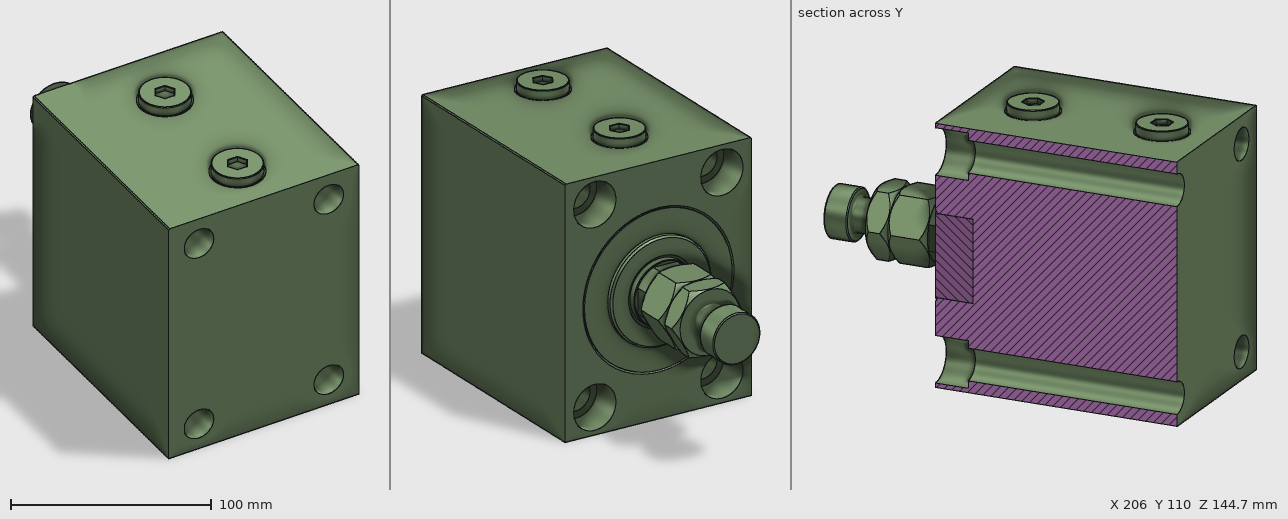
import cadquery as cq
import math


HOUSING_LENGTH = 133.0
HOUSING_WIDTH = 110.0
HOUSING_HEIGHT = 140.0
TOP_EDGE_CHAMFER = 0.6
HOUSING_TOP = HOUSING_HEIGHT / 2

BOLT_SPACING_Y = 75.0
BOLT_SPACING_Z = 110.0
BOLT_HOLE_DIAMETER = 17.0
COUNTERBORE_DIAMETER = 25.0
COUNTERBORE_DEPTH = 18.0

GLAND_DIAMETER = 87.1
GLAND_DEPTH = 20.5
BORE_CHAMFER = 1.0
BOSS_DIAMETER = 59.7
BOSS_LENGTH = 3.0
BOSS_CHAMFER = 1.0
WIPER_RECESS_DIAMETER = 39.1
WIPER_RECESS_DEPTH = 1.0

ROD_DIAMETER = 36.3
ROD_SHOULDER_X = -6.2
ROD_SHOULDER_CHAMFER = 0.5
ROD_END_DIAMETER = 35.0
ROD_END_ACROSS_FLATS = 32.1

COUPLING_BACK_X = -13.8
HEX_ACROSS_FLATS = 36.0
LONG_HEX_LENGTH = 21.8
SHORT_HEX_LENGTH = 12.4
HEX_END_DIAMETER = 35.5
NECK_DIAMETER = 18.1
NECK_FILLET = 1.0
HEAD_DIAMETER = 27.8
HEAD_LENGTH = 13.0
HEAD_CHAMFER = 0.6
COUPLING_FRONT_X = -73.0

FIRST_PLUG_X = 36.0
PLUG_SPACING = 71.0
PLUG_DIAMETER = 26.4
PLUG_STANDOUT = 4.7
PLUG_CHAMFER = 0.5
PLUG_SEAT_DIAMETER = 28.5
PLUG_SEAT_DEPTH = 0.5
SOCKET_ACROSS_FLATS = 9.3
SOCKET_DEPTH = 2.9
SOCKET_CHAMFER = 0.3

PLUG_POSITIONS = [FIRST_PLUG_X, FIRST_PLUG_X + PLUG_SPACING]


def across_corners(across_flats):
    """Corner-to-corner size of a hexagon with the given flat-to-flat size."""
    return across_flats / math.cos(math.pi / 6)


def axial_cylinder(diameter, start_x, end_x):
    """Solid cylinder along the cylinder axis."""
    return cq.Workplane("YZ", origin=(start_x, 0, 0)).circle(diameter / 2).extrude(end_x - start_x)


def make_housing():
    block = (
        cq.Workplane("XY")
        .box(HOUSING_LENGTH, HOUSING_WIDTH, HOUSING_HEIGHT, centered=(False, True, True))
        .edges("|X and >Z")
        .chamfer(TOP_EDGE_CHAMFER)
    )

    bolt_pattern = cq.Workplane("YZ").rect(BOLT_SPACING_Y, BOLT_SPACING_Z, forConstruction=True).vertices()
    bolt_holes = bolt_pattern.circle(BOLT_HOLE_DIAMETER / 2).extrude(HOUSING_LENGTH)
    counterbores = bolt_pattern.circle(COUNTERBORE_DIAMETER / 2).extrude(COUNTERBORE_DEPTH)

    bore_radius = GLAND_DIAMETER / 2
    bore_profile = [
        (0, 0),
        (0, bore_radius + BORE_CHAMFER),
        (BORE_CHAMFER, bore_radius),
        (GLAND_DEPTH, bore_radius),
        (GLAND_DEPTH, 0),
    ]
    bore = cq.Workplane("XY").polyline(bore_profile).close().revolve(360, (0, 0, 0), (1, 0, 0))

    plug_seats = (
        cq.Workplane("XY", origin=(0, 0, HOUSING_TOP))
        .pushPoints([(x, 0) for x in PLUG_POSITIONS])
        .circle(PLUG_SEAT_DIAMETER / 2)
        .extrude(-PLUG_SEAT_DEPTH)
    )
    return block.cut(bolt_holes).cut(counterbores).cut(bore).cut(plug_seats)


def make_gland():
    body = axial_cylinder(GLAND_DIAMETER, 0, GLAND_DEPTH)
    boss = axial_cylinder(BOSS_DIAMETER, -BOSS_LENGTH, 0).faces("<X").chamfer(BOSS_CHAMFER)
    rod_hole = axial_cylinder(ROD_DIAMETER, -BOSS_LENGTH, GLAND_DEPTH)
    wiper_recess = axial_cylinder(WIPER_RECESS_DIAMETER, -BOSS_LENGTH, WIPER_RECESS_DEPTH - BOSS_LENGTH)
    return body.union(boss).cut(rod_hole).cut(wiper_recess)


def make_rod():
    shaft = axial_cylinder(ROD_DIAMETER, ROD_SHOULDER_X, GLAND_DEPTH)
    shaft = shaft.faces("<X").chamfer(ROD_SHOULDER_CHAMFER)
    flats = (
        cq.Workplane("YZ", origin=(COUPLING_BACK_X, 0, 0))
        .rect(ROD_END_ACROSS_FLATS, ROD_END_ACROSS_FLATS)
        .extrude(ROD_SHOULDER_X - COUPLING_BACK_X)
    )
    end = axial_cylinder(ROD_END_DIAMETER, COUPLING_BACK_X, ROD_SHOULDER_X).intersect(flats)
    return shaft.union(end)


def make_hexagon(start_x, length):
    """Hexagon along X with corners on the Y axis and both ends turned to 45 degree cones."""
    corner_radius = across_corners(HEX_ACROSS_FLATS) / 2
    end_radius = HEX_END_DIAMETER / 2
    prism = cq.Workplane("YZ", origin=(start_x, 0, 0)).polygon(6, 2 * corner_radius).extrude(length)
    turned = axial_cylinder(2 * corner_radius, start_x, start_x + length)
    turned = turned.faces("<X or >X").chamfer(corner_radius - end_radius)
    return prism.intersect(turned)


def make_coupling():
    long_hex_x = COUPLING_BACK_X - LONG_HEX_LENGTH
    short_hex_x = long_hex_x - SHORT_HEX_LENGTH
    head_back_x = COUPLING_FRONT_X + HEAD_LENGTH

    long_hex = make_hexagon(long_hex_x, LONG_HEX_LENGTH)
    short_hex = make_hexagon(short_hex_x, SHORT_HEX_LENGTH)
    head = axial_cylinder(HEAD_DIAMETER, COUPLING_FRONT_X, head_back_x)
    head = head.faces("<X or >X").chamfer(HEAD_CHAMFER)

    neck_radius = NECK_DIAMETER / 2
    flare_radius = neck_radius + NECK_FILLET
    neck = (
        cq.Workplane("XY")
        .moveTo(head_back_x, 0)
        .lineTo(head_back_x, flare_radius)
        .radiusArc((head_back_x + NECK_FILLET, neck_radius), -NECK_FILLET)
        .lineTo(short_hex_x - NECK_FILLET, neck_radius)
        .radiusArc((short_hex_x, flare_radius), -NECK_FILLET)
        .lineTo(short_hex_x, 0)
        .close()
        .revolve(360, (0, 0, 0), (1, 0, 0))
    )
    return long_hex.union(short_hex).union(neck).union(head)


def make_plug(x):
    seat_z = HOUSING_TOP - PLUG_SEAT_DEPTH
    plug_top = HOUSING_TOP + PLUG_STANDOUT
    disc = (
        cq.Workplane("XY", origin=(x, 0, seat_z))
        .circle(PLUG_DIAMETER / 2)
        .extrude(plug_top - seat_z)
        .faces(">Z")
        .chamfer(PLUG_CHAMFER)
    )
    socket = (
        cq.Workplane("XY", origin=(x, 0, plug_top))
        .transformed(rotate=(0, 0, 90))
        .polygon(6, across_corners(SOCKET_ACROSS_FLATS))
        .extrude(-SOCKET_DEPTH)
    )
    mouth_bottom = plug_top - SOCKET_CHAMFER
    mouth_across_flats = SOCKET_ACROSS_FLATS + 2 * SOCKET_CHAMFER
    mouth = (
        cq.Workplane("XY", origin=(x, 0, mouth_bottom))
        .transformed(rotate=(0, 0, 90))
        .polygon(6, across_corners(SOCKET_ACROSS_FLATS))
        .workplane(offset=SOCKET_CHAMFER)
        .polygon(6, across_corners(mouth_across_flats))
        .loft(ruled=True)
    )
    return disc.cut(socket).cut(mouth)


housing = make_housing()
gland = make_gland()
rod = make_rod()
coupling = make_coupling()
plugs = [make_plug(x) for x in PLUG_POSITIONS]

result = cq.Compound.makeCompound(
    [housing.val(), gland.val(), rod.val(), coupling.val(), *[plug.val() for plug in plugs]]
)